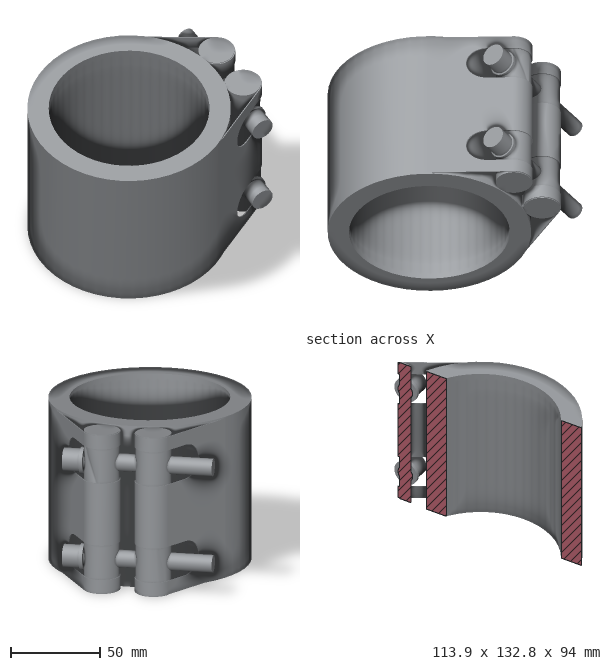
import cadquery as cq
import math

sleeve_diameter = 113.9
bore_diameter = 90.0
sleeve_height = 94.0

pin_diameter = 20.0
pin_spacing = 29.5
strap_thickness = 0.5
wrap_end_angle = 231
strap_height = 92.2
pin_height = 93.0
overall_depth = 132.8

bolt_diameter = 10.0
bolt_spacing = 56.3
bolt_start_x = -48.8
washer_diameter = 15.0
washer_start_x = 24.6
washer_thickness = 2.0
head_diameter = 13.0
head_length = 9.7

window_width = pin_diameter
window_drop = 7.2

sleeve_radius = sleeve_diameter / 2
pin_radius = pin_diameter / 2
wrap_radius = pin_radius + strap_thickness
pin_x = pin_spacing / 2
pin_y = overall_depth - sleeve_radius - wrap_radius
pin_distance = math.hypot(pin_x, pin_y)
washer_end_x = washer_start_x + washer_thickness
head_end_x = washer_end_x + head_length

tangent_angle = math.atan2(pin_y, pin_x) - math.acos((sleeve_radius - wrap_radius) / pin_distance)


def from_pin(radius, angle):
    """Point at a radius and angle about the right-hand pin axis."""
    return (pin_x + radius * math.cos(angle), pin_y + radius * math.sin(angle))


def from_sleeve(radius, angle):
    """Point at a radius and angle about the sleeve axis."""
    return (radius * math.cos(angle), radius * math.sin(angle))


def level_plane(height):
    """Horizontal plane from which an extrusion of this height is centred on Z = 0."""
    return cq.Workplane("XY", origin=(0, 0, -height / 2))


def make_sleeve():
    """Solid tube without its bore."""
    return level_plane(sleeve_height).circle(sleeve_radius).extrude(sleeve_height)


def make_pin():
    """Right-hand clamp pin."""
    return level_plane(pin_height).center(pin_x, pin_y).circle(pin_radius).extrude(pin_height)


def make_strap():
    """Right-hand strap: tangent to the sleeve, over the pin and back down to the sleeve."""
    tail_end_angle = math.radians(wrap_end_angle)
    wrap_middle_angle = (tangent_angle + tail_end_angle) / 2
    tail_x, _ = from_pin(wrap_radius, tail_end_angle)
    tail_bottom_y = pin_y - wrap_radius
    pin_contact_angle = math.atan2(-pin_y, -pin_x) + 2 * math.pi
    inner_middle_angle = (tangent_angle + pin_contact_angle) / 2
    return (
        level_plane(strap_height)
        .moveTo(*from_sleeve(sleeve_radius, tangent_angle))
        .lineTo(*from_pin(wrap_radius, tangent_angle))
        .threePointArc(from_pin(wrap_radius, wrap_middle_angle), from_pin(wrap_radius, tail_end_angle))
        .lineTo(tail_x, tail_bottom_y)
        .lineTo(*from_pin(pin_radius, pin_contact_angle))
        .threePointArc(from_pin(pin_radius, inner_middle_angle), from_pin(pin_radius, tangent_angle))
        .lineTo(*from_sleeve(sleeve_radius - strap_thickness, tangent_angle))
        .close()
        .extrude(strap_height)
    )


def make_window(z):
    """Cutter for one strap window, open at the top of the strap and rounded below the bolt."""
    round_centre_y = pin_y - window_drop
    straight_length = pin_y + wrap_radius - round_centre_y
    straight = cq.Workplane("XY").box(sleeve_diameter, straight_length, window_width)
    straight = straight.translate((0, round_centre_y + straight_length / 2, z))
    rounded = (
        cq.Workplane("YZ")
        .center(round_centre_y, z)
        .circle(window_width / 2)
        .extrude(sleeve_diameter / 2, both=True)
    )
    return straight.union(rounded)


def make_rod(diameter, start_x, end_x, z):
    """Round bar along X at the height of a bolt."""
    return (
        cq.Workplane("YZ", origin=(start_x, pin_y, z))
        .circle(diameter / 2)
        .extrude(end_x - start_x)
    )


def make_bolt(z):
    """Shank, washer and head of one bolt."""
    shank = make_rod(bolt_diameter, bolt_start_x, washer_end_x, z)
    washer = make_rod(washer_diameter, washer_start_x, washer_end_x, z)
    head = make_rod(head_diameter, washer_end_x, head_end_x, z)
    return shank.union(washer).union(head)


bolt_heights = (-bolt_spacing / 2, bolt_spacing / 2)

strap = make_strap()
for height in bolt_heights:
    strap = strap.cut(make_window(height))

clamp_half = make_pin().union(strap)
result = make_sleeve().union(clamp_half).union(clamp_half.mirror("YZ"))

for height in bolt_heights:
    result = result.union(make_bolt(height))

bore = level_plane(sleeve_height).circle(bore_diameter / 2).extrude(sleeve_height)
result = result.cut(bore)